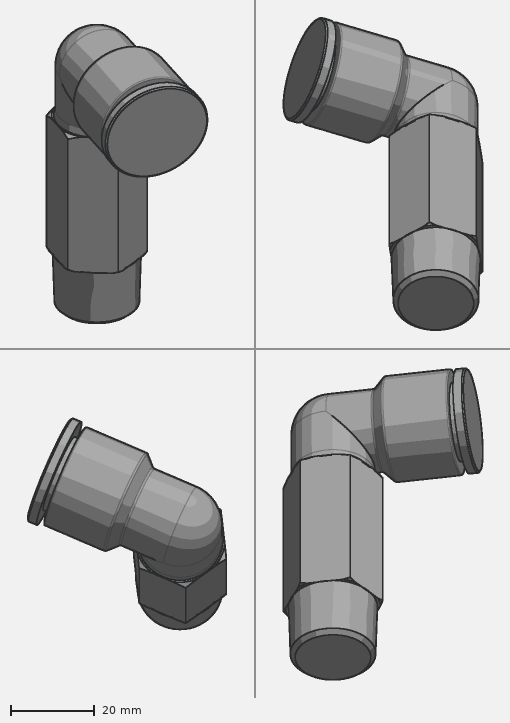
import cadquery as cq
import math

TOTAL_HEIGHT = 78.9
TOTAL_LENGTH = 46.15
SOCKET_RADIUS = 12.8
ELBOW_HEIGHT = TOTAL_HEIGHT - SOCKET_RADIUS
TUBE_RADIUS = 10.0

THREAD_LENGTH = 15.0
THREAD_TOP_RADIUS = 10.65
THREAD_TAPER = 1 / 32
THREAD_BEVEL_HEIGHT = 1.1
THREAD_BEVEL_WIDTH = 1.2

HEX_TOP = 52.55
HEX_FLATS = 21.0
HEX_CORNERS = HEX_FLATS / math.cos(math.pi / 6)
HEX_BEVEL_ANGLE = math.radians(30)
HEX_TOP_FACE_RADIUS = 10.8
HEX_BOTTOM_FACE_RADIUS = 11.4
HEX_CLEARANCE = 0.8

COLLAR_TOP = 54.5
COLLAR_BOTTOM_RADIUS = 10.3

SHOULDER_START = 11.3
SHOULDER_END = SHOULDER_START + SOCKET_RADIUS - TUBE_RADIUS
SHOULDER_BLEND = 0.8
SOCKET_END = 30.0
SOCKET_RIM_BLEND = 0.3

NECK_RADIUS = 9.55
RING_WIDTH = 27.0
RING_HEIGHT = 24.2
RING_START = 31.55
RING_END = TOTAL_LENGTH - HEX_CORNERS / 2
RING_BEVEL = 0.4


def turn_about_z(profile):
    """Solid of revolution about the Z axis from (radius, height) points."""
    return cq.Workplane("XZ").polyline(profile).close().revolve(360, (0, 0), (0, 1))


def thread_blank():
    """Tapered spigot with a bevelled lower end."""
    bevel_radius = THREAD_TOP_RADIUS - (THREAD_LENGTH - THREAD_BEVEL_HEIGHT) * THREAD_TAPER
    profile = [
        (0, 0),
        (bevel_radius - THREAD_BEVEL_WIDTH, 0),
        (bevel_radius, THREAD_BEVEL_HEIGHT),
        (THREAD_TOP_RADIUS, THREAD_LENGTH),
        (0, THREAD_LENGTH),
    ]
    return turn_about_z(profile)


def hexagon():
    """Hexagonal prism with its corners turned off conically at both ends."""
    prism = (
        cq.Workplane("XY", origin=(0, 0, THREAD_LENGTH))
        .polygon(6, HEX_CORNERS)
        .extrude(HEX_TOP - THREAD_LENGTH)
    )
    outer_radius = HEX_CORNERS / 2 + HEX_CLEARANCE
    top_drop = (outer_radius - HEX_TOP_FACE_RADIUS) * math.tan(HEX_BEVEL_ANGLE)
    bottom_drop = (outer_radius - HEX_BOTTOM_FACE_RADIUS) * math.tan(HEX_BEVEL_ANGLE)
    profile = [
        (0, THREAD_LENGTH),
        (HEX_BOTTOM_FACE_RADIUS, THREAD_LENGTH),
        (outer_radius, THREAD_LENGTH + bottom_drop),
        (outer_radius, HEX_TOP - top_drop),
        (HEX_TOP_FACE_RADIUS, HEX_TOP),
        (0, HEX_TOP),
    ]
    return prism.intersect(turn_about_z(profile))


def elbow_stem():
    """Flared collar and upright tube, ending in a ball at the bend."""
    profile = [
        (0, HEX_TOP),
        (COLLAR_BOTTOM_RADIUS, HEX_TOP),
        (TUBE_RADIUS, COLLAR_TOP),
        (TUBE_RADIUS, ELBOW_HEIGHT),
        (0, ELBOW_HEIGHT),
    ]
    tube = turn_about_z(profile)
    ball = cq.Workplane("XY", origin=(0, 0, ELBOW_HEIGHT)).sphere(TUBE_RADIUS)
    return tube.union(ball)


def socket():
    """Horizontal tube widening through a blended cone to the socket, then the neck."""
    profile = [
        (0, 0),
        (0, TUBE_RADIUS),
        (SHOULDER_START, TUBE_RADIUS),
        (SHOULDER_END, SOCKET_RADIUS),
        (SOCKET_END, SOCKET_RADIUS),
        (SOCKET_END, 0),
    ]
    body = (
        cq.Workplane("XZ", origin=(0, 0, ELBOW_HEIGHT))
        .polyline(profile)
        .close()
        .revolve(360, (0, 0), (1, 0))
    )
    body = body.edges("%CIRCLE").edges(">>X[-2] or >>X[-3]").fillet(SHOULDER_BLEND)
    body = body.faces(">X").edges().fillet(SOCKET_RIM_BLEND)
    neck = body.faces(">X").workplane(centerOption="CenterOfBoundBox").circle(NECK_RADIUS)
    return neck.extrude(RING_START - SOCKET_END)


def release_ring():
    """Oval disc, wider along Y than along Z, with a bevelled outer edge."""
    return (
        cq.Workplane("YZ", origin=(RING_START, 0, ELBOW_HEIGHT))
        .ellipse(RING_WIDTH / 2, RING_HEIGHT / 2)
        .extrude(RING_END - RING_START)
        .faces(">X")
        .edges()
        .chamfer(RING_BEVEL)
    )


result = thread_blank().union(hexagon()).union(elbow_stem()).union(socket()).union(release_ring())